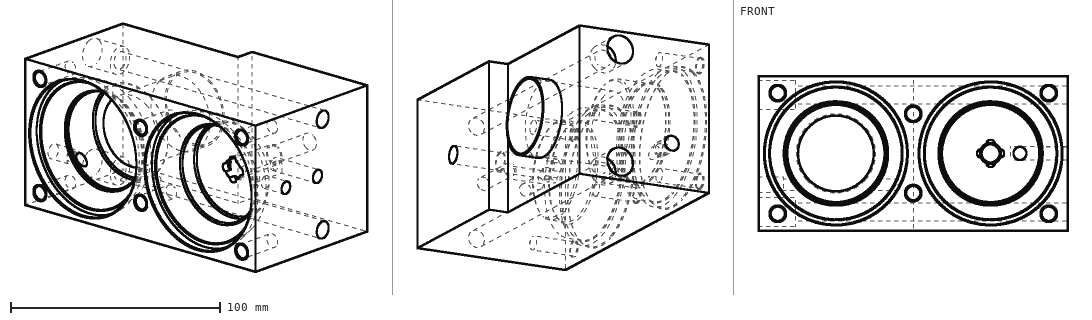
import cadquery as cq
import math

length = 148.0
height = 74.0
full_depth = 80.0
pad_depth = 10.0
body_depth = full_depth - pad_depth

bore_x = length / 4
mouth_radius = 34.0
mouth_chamfer = 0.5
mouth_depth = 4.9
seal_radius = 31.5
seal_chamfer = 0.5
seal_depth = 15.0
seal_fillet = 1.9
chamber_radius = 24.1
chamber_chamfer = 0.9
floor_chamfer = 0.9
left_chamber_depth = 35.0
right_chamber_depth = 25.0

lip_radius = 25.0
lip_chamfer = 0.5
lip_length = 1.3

spigot_radius = 19.0
spigot_bore_radius = 18.0

centre_hole_radius = 4.3
centre_step_radius = 5.0
centre_step_depth = 29.6
relief_radius = 2.0
relief_pitch_radius = 4.5
relief_depth = 3.7
relief_count = 4

passage_radius = 3.1
passage_offset = 14.0
cross_passage_radius = 3.3
cross_passage_overrun = 4.5
passage_y = 44.4

screw_radius = 3.4
screw_recess_radius = 4.0
screw_recess_depth = 0.5
screw_depth = 22.2
corner_screw_x = 64.8
corner_screw_z = 28.9
middle_screw_z = 19.0
drill_tip_angle = 118.0

bolt_y = 48.1
bolt_z = 28.0
bolt_radius = 4.3
bolt_head_radius = 7.0
bolt_head_depth = 17.8

left_port_y = 20.1
left_port_z = -15.0
left_port_radius = 2.8
left_port_entry_radius = 3.7
left_port_entry_depth = 11.8
left_port_depth = 66.6
right_port_y = 21.8
right_port_radius = 3.1


def cylinder(radius, depth, start, direction):
    """Solid cylinder from the start point along a unit direction."""
    return cq.Workplane(cq.Solid.makeCylinder(radius, depth, cq.Vector(*start), cq.Vector(*direction)))


def drilled_hole(radius, depth, start, direction):
    """Cylinder ending in a conical drill tip."""
    tip = radius / math.tan(math.radians(drill_tip_angle / 2))
    axis = cq.Vector(*direction)
    end = cq.Vector(*start) + axis * depth
    cone = cq.Solid.makeCone(radius, 0, tip, end, axis)
    return cylinder(radius, depth, start, direction).union(cq.Workplane(cone))


def bore(x, chamber_depth, shoulder):
    """Stepped bore turned about a y axis; shoulder holds the (radius, y) points of the chamber mouth."""
    seal_start = mouth_depth + seal_chamfer
    arc_middle = seal_fillet * math.sqrt(0.5)
    fillet_centre_radius = seal_radius - seal_fillet
    fillet_centre_y = seal_depth - seal_fillet
    profile = (
        cq.Workplane("XY")
        .moveTo(0, 0)
        .lineTo(mouth_radius + mouth_chamfer, 0)
        .lineTo(mouth_radius, mouth_chamfer)
        .lineTo(mouth_radius, mouth_depth)
        .lineTo(seal_radius + seal_chamfer, mouth_depth)
        .lineTo(seal_radius, seal_start)
        .lineTo(seal_radius, fillet_centre_y)
        .threePointArc(
            (fillet_centre_radius + arc_middle, fillet_centre_y + arc_middle),
            (fillet_centre_radius, seal_depth),
        )
    )
    for point in shoulder:
        profile = profile.lineTo(*point)
    profile = (
        profile.lineTo(chamber_radius, chamber_depth - floor_chamfer)
        .lineTo(chamber_radius - floor_chamfer, chamber_depth)
        .lineTo(0, chamber_depth)
        .close()
    )
    return profile.revolve(360, (0, 0, 0), (0, 1, 0)).translate((x, 0, 0))


def housing_blank():
    body = cq.Workplane("XY").box(length, body_depth, height, centered=(True, False, True))
    pad = cq.Workplane("XY").box(length / 2, full_depth, height, centered=(False, False, True))
    spigot = cylinder(spigot_radius, full_depth, (-bore_x, 0, 0), (0, 1, 0))
    return body.union(pad).union(spigot)


def left_bore():
    lip_inner_radius = lip_radius - lip_chamfer
    lip_start = seal_depth + lip_chamfer
    lip_end = lip_start + lip_length
    shoulder = [
        (lip_radius, seal_depth),
        (lip_inner_radius, lip_start),
        (lip_inner_radius, lip_end),
        (chamber_radius, lip_end),
    ]
    spigot_bore = cylinder(spigot_bore_radius, full_depth, (-bore_x, 0, 0), (0, 1, 0))
    return bore(-bore_x, left_chamber_depth, shoulder).union(spigot_bore)


def right_bore():
    shoulder = [
        (chamber_radius + chamber_chamfer, seal_depth),
        (chamber_radius, seal_depth + chamber_chamfer),
    ]
    floor = right_chamber_depth
    cutter = bore(bore_x, floor, shoulder)
    cutter = cutter.union(cylinder(centre_hole_radius, full_depth, (bore_x, 0, 0), (0, 1, 0)))
    cutter = cutter.union(cylinder(centre_step_radius, centre_step_depth, (bore_x, floor, 0), (0, 1, 0)))
    for i in range(relief_count):
        angle = 2 * math.pi * i / relief_count
        x = bore_x + relief_pitch_radius * math.cos(angle)
        z = relief_pitch_radius * math.sin(angle)
        cutter = cutter.union(cylinder(relief_radius, relief_depth, (x, floor, z), (0, 1, 0)))
    return cutter


def floor_passage():
    x = bore_x + passage_offset
    floor = right_chamber_depth
    inlet = cylinder(passage_radius, passage_y - floor, (x, floor, 0), (0, 1, 0))
    cross_start = x - cross_passage_overrun
    cross = cylinder(cross_passage_radius, length / 2 - cross_start, (cross_start, passage_y, 0), (1, 0, 0))
    return inlet.union(cross)


def screw_hole(x, z):
    hole = drilled_hole(screw_radius, screw_depth, (x, 0, z), (0, 1, 0))
    return hole.union(cylinder(screw_recess_radius, screw_recess_depth, (x, 0, z), (0, 1, 0)))


def bolt_hole(z):
    start = (-length / 2, bolt_y, z)
    shank = cylinder(bolt_radius, length, start, (1, 0, 0))
    return shank.union(cylinder(bolt_head_radius, bolt_head_depth, start, (1, 0, 0)))


def left_port():
    start = (-length / 2, left_port_y, left_port_z)
    port = drilled_hole(left_port_radius, left_port_depth, start, (1, 0, 0))
    return port.union(cylinder(left_port_entry_radius, left_port_entry_depth, start, (1, 0, 0)))


def right_port():
    return cylinder(right_port_radius, length / 2 - bore_x, (bore_x, right_port_y, 0), (1, 0, 0))


result = housing_blank().cut(left_bore()).cut(right_bore()).cut(floor_passage())
for side in (-1, 1):
    result = result.cut(screw_hole(0, side * middle_screw_z))
    result = result.cut(bolt_hole(side * bolt_z))
    for end in (-1, 1):
        result = result.cut(screw_hole(end * corner_screw_x, side * corner_screw_z))
result = result.cut(left_port()).cut(right_port())